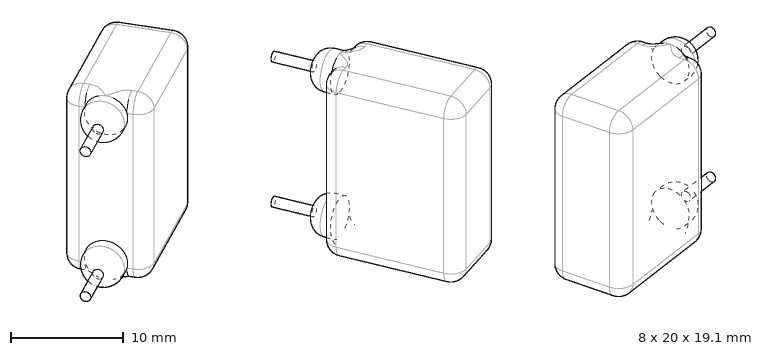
import cadquery as cq
import math

width = 8.0
height = 19.0
depth = 13.5
edge_radius = 1.5

boss_diameter = 4.0
boss_length = 2.5
boss_rounding = 1.5
boss_radius = boss_diameter / 2
boss_height = height / 2 - boss_radius

lead_diameter = 1.0
lead_length = 4.0

runout_length = math.sqrt(boss_radius**2 - (boss_radius - edge_radius) ** 2)
runout_mid_x = 0.92
runout_mid_y = 1.08
runout_tip_slope = 1.3


def make_body():
    """Block with every edge rounded."""
    block = cq.Workplane("XY").box(width, depth, height)
    return block.translate((0, depth / 2, 0)).edges().fillet(edge_radius)


def make_edge_filler():
    """Material restored to the rounded top front edge, from the boss tip out to +X."""
    top = height / 2
    base = top - edge_radius
    tip = cq.Vector(0, 0, top)
    back = cq.Vector(runout_length, edge_radius, top)
    low = cq.Vector(runout_length, 0, base)
    inner_back = cq.Vector(0, edge_radius, top)
    inner_low = cq.Vector(0, 0, base)
    inner_axis = cq.Vector(0, edge_radius, base)
    outer_axis = cq.Vector(runout_length, edge_radius, base)

    border_mid = cq.Vector(runout_mid_x, runout_mid_y, top)
    border_tangents = [cq.Vector(1, runout_tip_slope, 0), cq.Vector(1, 0, 0)]
    border = cq.Edge.makeSpline([tip, border_mid, back], tangents=border_tangents)

    half_angle = math.asin(runout_length / boss_radius) / 2
    circle_mid_x = boss_radius * math.sin(half_angle)
    circle_mid_z = boss_height + boss_radius * math.cos(half_angle)
    circle_mid = cq.Vector(circle_mid_x, 0, circle_mid_z)
    boss_arc = cq.Edge.makeThreePointArc(tip, circle_mid, low)

    round_inset = edge_radius * (1 - math.sqrt(0.5))
    round_mid = cq.Vector(runout_length, round_inset, top - round_inset)
    end_arc = cq.Edge.makeThreePointArc(back, round_mid, low)

    def flat_face(*points, curve=None):
        """Flat face through the points, closed by a straight line or by the given curve."""
        edges = [cq.Edge.makeLine(start, end) for start, end in zip(points, points[1:])]
        edges.append(curve or cq.Edge.makeLine(points[-1], points[0]))
        return cq.Face.makeFromWires(cq.Wire.assembleEdges(edges))

    faces = [
        flat_face(back, inner_back, tip, curve=border),
        flat_face(tip, inner_low, low, curve=boss_arc),
        flat_face(low, outer_axis, back, curve=end_arc),
        flat_face(tip, inner_back, inner_axis, inner_low),
        flat_face(inner_back, back, outer_axis, inner_axis),
        flat_face(inner_low, inner_axis, outer_axis, low),
        cq.Face.makeNSidedSurface([border, end_arc, boss_arc], []),
    ]
    return cq.Workplane(cq.Solid.makeSolid(cq.Shell.makeShell(faces)))


def rod(diameter, start_y, length):
    """Cylinder running from start_y toward -Y at the height of the upper boss."""
    plane = cq.Workplane("XZ", origin=(0, start_y, boss_height))
    return plane.circle(diameter / 2).extrude(length)


def make_terminal():
    """Upper boss with its wire lead."""
    boss = rod(boss_diameter, 0, boss_length).faces("<Y").edges().fillet(boss_rounding)
    return boss.union(rod(lead_diameter, -boss_length, lead_length))


filler = make_edge_filler()
result = make_body()
for part in (filler, filler.mirror("YZ"), make_terminal()):
    result = result.union(part).union(part.mirror("XY"))
result = result.solids()